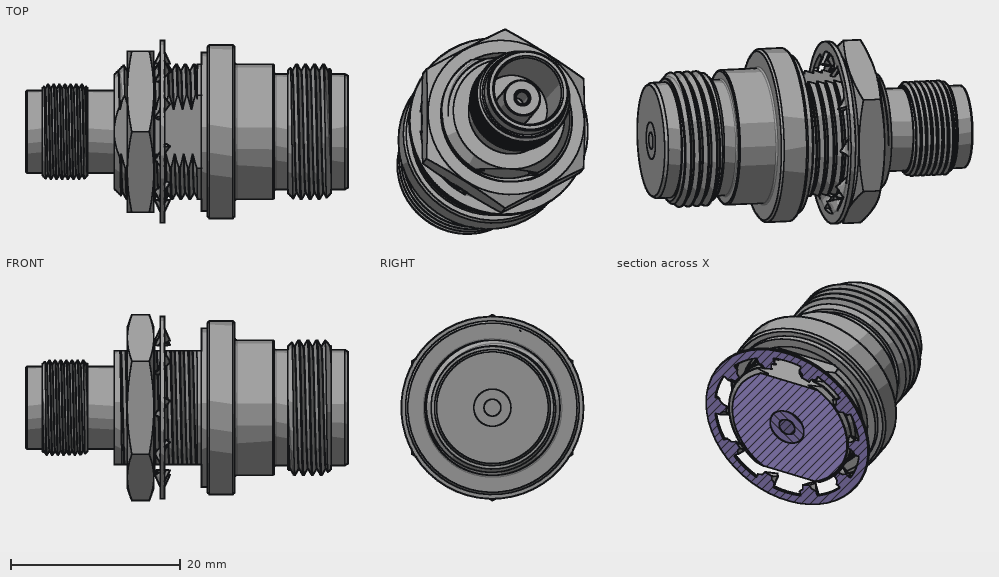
import cadquery as cq
import math


small_thread_start = 1.9
small_thread_end = 7.33
body_start = 10.43
body_thread_end = 20.27
step_start = 20.76
flange_start = 21.44
flange_end = 24.72
barrel_end = 29.37
large_thread_start = 30.97
large_thread_end = 36.11
overall_length = 38.1

small_neck_radius = 4.9
body_radius = 8.0
step_radius = 9.4
seat_groove_radius = 8.35
flange_radius = 10.28
large_neck_radius = 6.86
flat_half_height = 6.75

seat_groove_depth = 0.8

small_tip_chamfer = 0.15
flange_chamfer = 0.27
barrel_fillet = 0.2
barrel_chamfer = 0.15
neck_fillet = 0.15
large_tip_chamfer_length = 0.4
large_tip_chamfer_depth = 0.25

small_pitch = 0.667
small_crest_radius = 5.6
large_pitch = 25.4 / 24
large_crest_radius = body_radius
thread_depth_ratio = 0.7
crest_flat_ratio = 1 / 8
flank_half_angle = math.radians(30)
ridge_embed = 0.1
envelope_margin = 0.2
small_crest_position = 2.45
body_crest_position = 17.53
large_crest_position = 31.76

socket_radius = 4.08
socket_depth = 8.0
socket_chamfer = 0.2
insulator_radius = 2.2
insulator_chamfer = 0.1
insulator_front = 3.15
contact_radius = 1.0
contact_bore_radius = 0.75
contact_bore_depth = 3.0
contact_bore_chamfer = 0.1

nut_start = 11.97
nut_thickness = 3.175
nut_across_corners = 22.0
nut_chamfer_radius = 9.46
nut_corner_chamfer_length = 0.55
nut_mouth_radius = 7.93
nut_collar_radius = 8.0
nut_collar_length = 0.1

washer_radius = 10.795
washer_bore_radius = 9.6
washer_thickness = 0.55
washer_center = 16.14
tooth_count = 10
tooth_width = 2.4
tooth_root_distance = 9.45
tooth_tip_distance = 8.07
tooth_embed = 0.4
tooth_twist = -35.0


def thread_root_radius(crest_radius, pitch):
    return crest_radius - thread_depth_ratio * pitch


def cylinder(start, end, radius):
    return cq.Workplane("YZ", origin=(start, 0, 0)).circle(radius).extrude(end - start)


def revolve_about_x(outline):
    return outline.close().revolve(360, (0, 0, 0), (1, 0, 0))


def thread_ridge(start, end, crest_radius, pitch, crest_position):
    """Helical ridge that runs at least one pitch past both ends."""
    root_radius = thread_root_radius(crest_radius, pitch)
    crest_half = crest_flat_ratio * pitch / 2
    root_half = crest_half + (crest_radius - root_radius) * math.tan(flank_half_angle)
    turns_before = math.ceil((crest_position - start) / pitch) + 1
    helix_start = crest_position - turns_before * pitch
    turns = math.ceil((end - helix_start) / pitch) + 1

    section = [
        (root_radius - ridge_embed, -root_half),
        (root_radius, -root_half),
        (crest_radius, -crest_half),
        (crest_radius, crest_half),
        (root_radius, root_half),
        (root_radius - ridge_embed, root_half),
    ]
    length = turns * pitch
    helices = [
        cq.Wire.makeHelix(pitch, length, radius).translate(cq.Vector(0, 0, offset))
        for radius, offset in section
    ]
    faces = []
    for index, helix in enumerate(helices):
        faces.append(cq.Face.makeRuledSurface(helix, helices[index - 1]))
    for end_height in (0, length):
        corners = [cq.Vector(radius, 0, offset + end_height) for radius, offset in section]
        faces.append(cq.Face.makeFromWires(cq.Wire.makePolygon(corners, close=True)))
    ridge = cq.Workplane(obj=cq.Solid.makeSolid(cq.Shell.makeShell(faces)))
    return ridge.rotate((0, 0, 0), (0, 1, 0), 90).translate((helix_start, 0, 0))


def threaded_rod(start, end, crest_radius, pitch, crest_position, start_radius, end_radius):
    """Thread trimmed by a 45 degree cone at each end that is smaller than the crest."""
    root_radius = thread_root_radius(crest_radius, pitch)
    envelope_radius = crest_radius + envelope_margin
    envelope = cylinder(start, end, envelope_radius)
    if start_radius < crest_radius:
        envelope = envelope.faces("<X").chamfer(envelope_radius - start_radius)
    if end_radius < crest_radius:
        envelope = envelope.faces(">X").chamfer(envelope_radius - end_radius)
    ridge = thread_ridge(start, end, crest_radius, pitch, crest_position)
    core = cylinder(start, end, root_radius).intersect(envelope)
    return core.union(ridge.intersect(envelope))


def make_small_thread():
    root_radius = thread_root_radius(small_crest_radius, small_pitch)
    return threaded_rod(
        small_thread_start, small_thread_end, small_crest_radius, small_pitch,
        small_crest_position, root_radius, root_radius,
    )


def make_body_thread():
    return threaded_rod(
        body_start, body_thread_end, large_crest_radius, large_pitch,
        body_crest_position, flat_half_height, large_crest_radius,
    )


def make_large_thread():
    root_radius = thread_root_radius(large_crest_radius, large_pitch)
    return threaded_rod(
        large_thread_start, large_thread_end, large_crest_radius, large_pitch,
        large_crest_position, root_radius, root_radius,
    )


def make_small_neck():
    neck = cylinder(0, body_start, small_neck_radius)
    return neck.faces("<X").chamfer(small_tip_chamfer)


def make_body_end(body_thread):
    """Threaded body and its plain collar, cut by two parallel flats."""
    collar = cylinder(body_thread_end, step_start + seat_groove_depth, body_radius)
    slab = cq.Workplane("XY").box(
        2 * overall_length, 4 * body_radius, 2 * flat_half_height
    )
    return body_thread.union(collar).intersect(slab)


def make_flange_and_barrel():
    """Turned section from the panel step to the large rim."""
    bend = math.sqrt(0.5)
    barrel_fillet_mid = barrel_fillet * (1 - bend)
    groove_floor = step_start + seat_groove_depth
    neck_fillet_mid = neck_fillet * (1 - bend)
    return revolve_about_x(
        cq.Workplane("XY")
        .moveTo(groove_floor, 0)
        .lineTo(groove_floor, seat_groove_radius)
        .lineTo(step_start, seat_groove_radius)
        .lineTo(step_start, step_radius)
        .lineTo(flange_start, step_radius)
        .lineTo(flange_start, flange_radius - flange_chamfer)
        .lineTo(flange_start + flange_chamfer, flange_radius)
        .lineTo(flange_end - flange_chamfer, flange_radius)
        .lineTo(flange_end, flange_radius - flange_chamfer)
        .lineTo(flange_end, body_radius + barrel_fillet)
        .threePointArc(
            (flange_end + barrel_fillet_mid, body_radius + barrel_fillet_mid),
            (flange_end + barrel_fillet, body_radius),
        )
        .lineTo(barrel_end - barrel_chamfer, body_radius)
        .lineTo(barrel_end, body_radius - barrel_chamfer)
        .lineTo(barrel_end, large_neck_radius + neck_fillet)
        .threePointArc(
            (barrel_end + neck_fillet_mid, large_neck_radius + neck_fillet_mid),
            (barrel_end + neck_fillet, large_neck_radius),
        )
        .lineTo(overall_length - large_tip_chamfer_length, large_neck_radius)
        .lineTo(overall_length, large_neck_radius - large_tip_chamfer_depth)
        .lineTo(overall_length, 0)
    )


def make_socket():
    """Space of the small socket, flared at its mouth."""
    return revolve_about_x(
        cq.Workplane("XY")
        .lineTo(0, socket_radius + socket_chamfer)
        .lineTo(socket_chamfer, socket_radius)
        .lineTo(socket_depth, socket_radius)
        .lineTo(socket_depth, 0)
    )


def make_shell(body_thread):
    """Complete turned housing, hollowed for the socket and the insulator."""
    shell = make_small_neck().union(make_small_thread()).union(make_body_end(body_thread))
    shell = shell.union(make_flange_and_barrel()).union(make_large_thread())
    insulator_hole = cylinder(socket_depth, overall_length, insulator_radius)
    return shell.cut(make_socket()).cut(insulator_hole)


def make_insulator():
    """Insulator that stands proud of the socket floor and runs through to the large end."""
    insulator = cylinder(insulator_front, overall_length, insulator_radius)
    insulator = insulator.faces("<X").chamfer(insulator_chamfer)
    return insulator.cut(cylinder(insulator_front, overall_length, contact_radius))


def make_contact():
    """Contact flush with the insulator face, with a blind bore at the socket end."""
    contact = cylinder(insulator_front, overall_length, contact_radius)
    bore = revolve_about_x(
        cq.Workplane("XY")
        .moveTo(insulator_front, 0)
        .lineTo(insulator_front, contact_bore_radius + contact_bore_chamfer)
        .lineTo(insulator_front + contact_bore_chamfer, contact_bore_radius)
        .lineTo(insulator_front + contact_bore_depth, contact_bore_radius)
        .lineTo(insulator_front + contact_bore_depth, 0)
    )
    return contact.cut(bore)


def make_nut(body_thread):
    """Hex nut with a countersunk mouth, a short rear collar and a thread that fits the body."""
    nut_end = nut_start + nut_thickness
    corner_radius = nut_across_corners / 2
    hexagon = (
        cq.Workplane("YZ", origin=(nut_start, 0, 0))
        .transformed(rotate=(0, 0, 90))
        .polygon(6, nut_across_corners)
        .extrude(nut_thickness)
    )
    corner_envelope = revolve_about_x(
        cq.Workplane("XY")
        .moveTo(nut_start, 0)
        .lineTo(nut_start, nut_chamfer_radius)
        .lineTo(nut_start + nut_corner_chamfer_length, corner_radius)
        .lineTo(nut_end - nut_corner_chamfer_length, corner_radius)
        .lineTo(nut_end, nut_chamfer_radius)
        .lineTo(nut_end, 0)
    )
    mouth_depth = nut_mouth_radius - thread_root_radius(large_crest_radius, large_pitch)
    mouth = revolve_about_x(
        cq.Workplane("XY")
        .moveTo(nut_start, 0)
        .lineTo(nut_start, nut_mouth_radius)
        .lineTo(nut_start + mouth_depth, nut_mouth_radius - mouth_depth)
        .lineTo(nut_start + mouth_depth, 0)
    )
    collar = cylinder(nut_end, nut_end + nut_collar_length, nut_collar_radius)
    blank = hexagon.intersect(corner_envelope).union(collar)
    return blank.cut(mouth).cut(body_thread)


def make_tooth():
    """Tooth at the +Z side whose tip is twisted about its own radial axis."""
    stub = (
        cq.Workplane("XY", origin=(washer_center, 0, tooth_root_distance))
        .rect(washer_thickness, tooth_width)
        .extrude(tooth_embed)
    )
    twisted = (
        cq.Workplane("XY", origin=(washer_center, 0, tooth_root_distance))
        .rect(washer_thickness, tooth_width)
        .workplane(offset=tooth_tip_distance - tooth_root_distance)
        .transformed(rotate=(0, 0, tooth_twist))
        .rect(washer_thickness, tooth_width)
        .loft(ruled=True)
    )
    return stub.union(twisted)


def make_washer():
    half = washer_thickness / 2
    ring = cylinder(washer_center - half, washer_center + half, washer_radius)
    washer = ring.cut(cylinder(washer_center - half, washer_center + half, washer_bore_radius))
    tooth = make_tooth()
    for index in range(tooth_count):
        angle = 90 + index * 360 / tooth_count
        washer = washer.union(tooth.rotate((0, 0, 0), (1, 0, 0), angle))
    return washer


body_thread = make_body_thread()
shell = make_shell(body_thread)
insulator = make_insulator()
contact = make_contact()
nut = make_nut(body_thread)
washer = make_washer()

result = cq.Compound.makeCompound(
    [body.solids().val() for body in (shell, insulator, contact, nut, washer)]
)